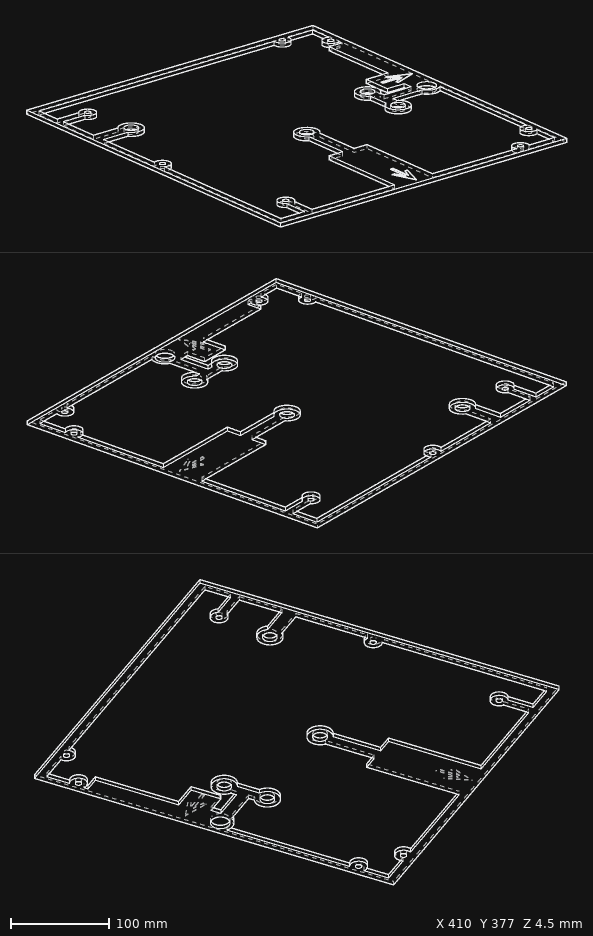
import cadquery as cq

FRAME_X = 410.02
FRAME_Y = 377.03
THICKNESS = 4.5
SIDE_RAIL = 10.0
END_RAIL = 8.5
INNER_RIGHT = FRAME_X / 2 - SIDE_RAIL
INNER_TOP = FRAME_Y / 2 - END_RAIL
INNER_BOTTOM = -INNER_TOP
RAIL_OVERLAP = 5.0

SCREW_HOLE = 6.4
SCREW_RING = 18.4
PIPE_HOLE = 15.0
LARGE_HOLE = 20.0
PIPE_RING = 27.0
LARGE_RING = 28.0

MIDDLE_X = -1.0
SCREW_DX = 159.8
SIDE_SCREW_DX = 192.3
SCREW_Y = 176.0
SIDE_SCREW_Y = 138.5
ARM_SCREW_Y = -144.0
LARGE_HOLE_Y = 172.0
PAIR_DX = 24.6
PAIR_Y = 114.1
SIDE_PIPE_Y = -6.0
BOTTOM_PIPE_X = -99.3
BOTTOM_PIPE_Y = -137.0

SCREW_POINTS = [
    (MIDDLE_X - SCREW_DX, SCREW_Y),
    (MIDDLE_X + SCREW_DX, SCREW_Y),
    (MIDDLE_X - SIDE_SCREW_DX, SIDE_SCREW_Y),
    (MIDDLE_X + SIDE_SCREW_DX, SIDE_SCREW_Y),
    (MIDDLE_X - SCREW_DX, ARM_SCREW_Y),
    (MIDDLE_X + SCREW_DX, ARM_SCREW_Y),
    (MIDDLE_X, -SCREW_Y),
]
PIPE_POINTS = [
    (MIDDLE_X - PAIR_DX, PAIR_Y),
    (MIDDLE_X + PAIR_DX, PAIR_Y),
    (MIDDLE_X + PAIR_DX, SIDE_PIPE_Y),
    (BOTTOM_PIPE_X, BOTTOM_PIPE_Y),
]
LARGE_POINT = (MIDDLE_X, LARGE_HOLE_Y)

SCREW_ARM = 10.0
BOTTOM_PIPE_ARM = 16.0
PAIR_STEM = 14.0
PAIR_BAR_TOP = 121.5
PAIR_BAR_BOTTOM = 108.0
SIDE_ARM_TOP = 2.5
SIDE_ARM_BOTTOM = -12.5

TOP_TAB_LEFT = -148.0
TOP_TAB_BOTTOM = 163.3
ARROW_TAB_LEFT = -53.0
ARROW_TAB_RIGHT = -19.0
ARROW_TAB_BOTTOM = 134.7
STEM_WEB_BOTTOM = 157.0
SIDE_TAB_LEFT = 89.5
SIDE_TAB_TOP = 19.5
SIDE_TAB_BOTTOM = -30.5

ENGRAVE_DEPTH = 0.5
ARROW_LENGTH = 40.0
ARROW_HEAD_LENGTH = 27.0
ARROW_HEAD_HALF = 10.0
ARROW_NOTCH = 15.0
ARROW_SHAFT_HALF = 1.6
ARROW_BARB_INNER = 6.7
TOP_ARROW_TIP = (-36.0, 181.8)
SIDE_ARROW_TIP = (198.0, -3.8)


def plate(left, right, bottom, top):
    """Rectangular piece of full thickness."""
    return (
        cq.Workplane("XY")
        .center((left + right) / 2, (bottom + top) / 2)
        .rect(right - left, top - bottom)
        .extrude(THICKNESS)
    )


def discs(points, diameter):
    """Full-thickness discs at the given points."""
    return cq.Workplane("XY").pushPoints(points).circle(diameter / 2).extrude(THICKNESS)


def frame():
    inner = plate(-INNER_RIGHT, INNER_RIGHT, INNER_BOTTOM, INNER_TOP)
    return plate(-FRAME_X / 2, FRAME_X / 2, -FRAME_Y / 2, FRAME_Y / 2).cut(inner)


def arms():
    rail_bottom = INNER_BOTTOM - RAIL_OVERLAP
    rail_right = INNER_RIGHT + RAIL_OVERLAP
    screw_x = MIDDLE_X - SCREW_DX
    return [
        plate(screw_x - SCREW_ARM / 2, screw_x + SCREW_ARM / 2, rail_bottom, ARM_SCREW_Y),
        plate(MIDDLE_X + SCREW_DX, rail_right, ARM_SCREW_Y - SCREW_ARM / 2, ARM_SCREW_Y + SCREW_ARM / 2),
        plate(BOTTOM_PIPE_X - BOTTOM_PIPE_ARM / 2, BOTTOM_PIPE_X + BOTTOM_PIPE_ARM / 2,
              rail_bottom, BOTTOM_PIPE_Y),
        plate(MIDDLE_X + PAIR_DX, SIDE_TAB_LEFT + RAIL_OVERLAP, SIDE_ARM_BOTTOM, SIDE_ARM_TOP),
        plate(MIDDLE_X - PAIR_STEM / 2, MIDDLE_X + PAIR_STEM / 2, PAIR_BAR_BOTTOM, LARGE_HOLE_Y),
        plate(MIDDLE_X - PAIR_DX, MIDDLE_X + PAIR_DX, PAIR_BAR_BOTTOM, PAIR_BAR_TOP),
    ]


def tabs():
    rail_top = INNER_TOP + RAIL_OVERLAP
    return [
        plate(TOP_TAB_LEFT, MIDDLE_X, TOP_TAB_BOTTOM, rail_top),
        plate(ARROW_TAB_LEFT, ARROW_TAB_RIGHT, ARROW_TAB_BOTTOM, rail_top),
        plate(ARROW_TAB_RIGHT, MIDDLE_X, STEM_WEB_BOTTOM, rail_top),
        plate(SIDE_TAB_LEFT, INNER_RIGHT + RAIL_OVERLAP, SIDE_TAB_BOTTOM, SIDE_TAB_TOP),
    ]


def arrow(tip, turn):
    """Cutter for an engraved arrow that points to +Y before it is turned."""
    right_side = [
        (ARROW_HEAD_HALF, -ARROW_HEAD_LENGTH),
        (ARROW_BARB_INNER, -ARROW_HEAD_LENGTH),
        (ARROW_SHAFT_HALF, -ARROW_NOTCH),
        (ARROW_SHAFT_HALF, -ARROW_LENGTH),
    ]
    left_side = [(-x, y) for x, y in reversed(right_side)]
    return (
        cq.Workplane("XY")
        .polyline([(0, 0)] + right_side + left_side)
        .close()
        .extrude(ENGRAVE_DEPTH)
        .rotate((0, 0, 0), (0, 0, 1), turn)
        .translate((tip[0], tip[1], THICKNESS - ENGRAVE_DEPTH))
    )


result = frame()
for piece in arms() + tabs():
    result = result.union(piece)
result = result.union(discs(SCREW_POINTS, SCREW_RING))
result = result.union(discs(PIPE_POINTS, PIPE_RING))
result = result.union(discs([LARGE_POINT], LARGE_RING))
result = result.cut(discs(SCREW_POINTS, SCREW_HOLE))
result = result.cut(discs(PIPE_POINTS, PIPE_HOLE))
result = result.cut(discs([LARGE_POINT], LARGE_HOLE))
result = result.cut(arrow(TOP_ARROW_TIP, 0))
result = result.cut(arrow(SIDE_ARROW_TIP, -90))